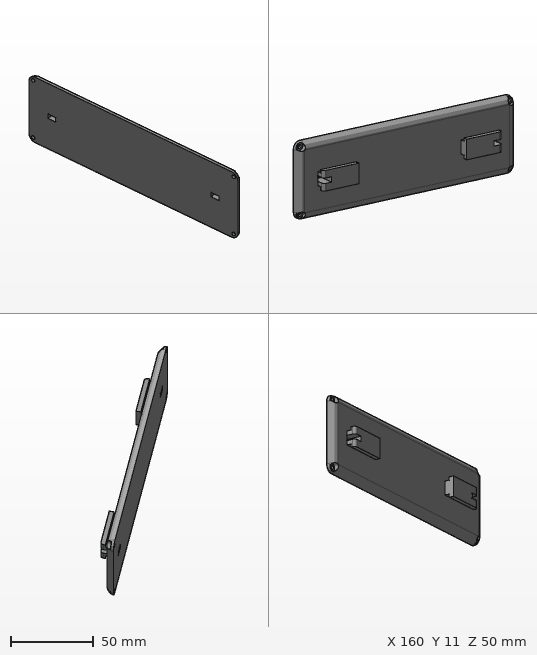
import cadquery as cq

length = 160.0
height = 50.0
thickness = 5.0
edge_radius = thickness

screw_inset = 3.2
screw_diameter = 2.4
counterbore_diameter = 5.0
counterbore_floor = 2.0

total_depth = 11.0
rail_end_inset = 14.5
rail_length = 26.0
stem_height = 9.0
head_height = 13.1
head_thickness = 3.0
head_end_radius = 2.0

notch_length = 6.0
notch_height = 3.4

rail_outer_x = length / 2 - rail_end_inset
rail_center_x = rail_outer_x - rail_length / 2
notch_center_x = rail_outer_x - notch_length / 2
overlap = thickness / 2


def block(size_x, y_start, y_end, size_z, center_x=0):
    """Box centred on z = 0 that spans y_start to y_end."""
    return (
        cq.Workplane("XY")
        .box(size_x, y_end - y_start, size_z)
        .translate((center_x, (y_start + y_end) / 2, 0))
    )


def corner_cylinders(diameter, y_start, y_end):
    """Four cylinders along Y at the screw positions."""
    return (
        cq.Workplane("XZ", origin=(0, y_start, 0))
        .rect(length - 2 * screw_inset, height - 2 * screw_inset, forConstruction=True)
        .vertices()
        .circle(diameter / 2)
        .extrude(-(y_end - y_start))
    )


def make_plate():
    """Rounded rectangle whose back edges are quarter rounds with ball corners."""
    flat_length = length - 2 * edge_radius
    flat_height = height - 2 * edge_radius
    plate = block(flat_length, 0, thickness, flat_height)
    rounds = (
        cq.Workplane("YZ", origin=(-flat_length / 2, 0, 0))
        .pushPoints([(0, -flat_height / 2), (0, flat_height / 2)])
        .circle(edge_radius)
        .extrude(flat_length)
    )
    ends = (
        cq.Workplane("XY", origin=(0, 0, -flat_height / 2))
        .pushPoints([(-flat_length / 2, 0), (flat_length / 2, 0)])
        .circle(edge_radius)
        .extrude(flat_height)
    )
    balls = (
        cq.Workplane("XZ")
        .rect(flat_length, flat_height, forConstruction=True)
        .vertices()
        .sphere(edge_radius)
    )
    back_half = block(length, 0, thickness, height)
    return plate.union(rounds).union(ends).union(balls).intersect(back_half)


def make_rail():
    """T-shaped rail at the +X end, rounded at the outer back edge."""
    stem = block(rail_length, thickness - overlap, total_depth, stem_height, rail_center_x)
    head = block(rail_length, total_depth - head_thickness, total_depth, head_height, rail_center_x)
    rail = stem.union(head)
    return rail.edges(">X and >Y").fillet(head_end_radius)


def make_notch():
    return block(notch_length, 0, total_depth, notch_height, notch_center_x)


rail = make_rail()
notch = make_notch()
result = make_plate().union(rail).union(rail.mirror("YZ"))
result = result.cut(notch).cut(notch.mirror("YZ"))
result = result.cut(corner_cylinders(screw_diameter, 0, thickness))
result = result.cut(corner_cylinders(counterbore_diameter, counterbore_floor, thickness))